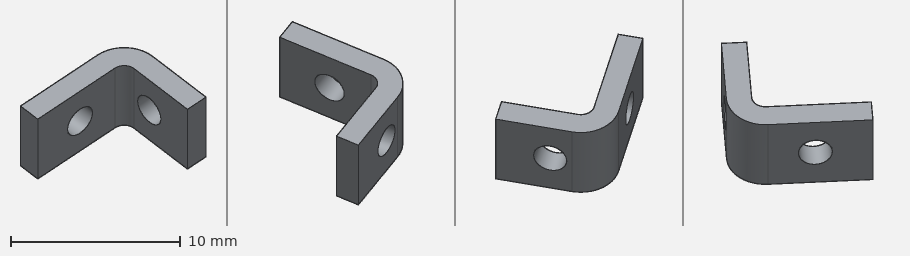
import cadquery as cq

length_x = 6.9
length_y = 8.5
height = 5.0

thickness = 1.5
inner_radius = 0.8
outer_radius = inner_radius + thickness

corner_edge = "|Z and <X and >Y"

hole_diameter = 2.0
x_leg_hole_from_corner = 3.6
y_leg_hole_from_end = 3.4


def bent_sheet():
    """Two legs meeting at the -X, +Y corner with a concentric bend."""
    outside = (
        cq.Workplane("XY")
        .box(length_x, length_y, height, centered=False)
        .edges(corner_edge)
        .fillet(outer_radius)
    )
    inside = (
        cq.Workplane("XY")
        .box(length_x - thickness, length_y - thickness, height, centered=False)
        .translate((thickness, 0, 0))
        .edges(corner_edge)
        .fillet(inner_radius)
    )
    return outside.cut(inside)


def hole_cutter(start, direction):
    """Round cutter running through one sheet thickness."""
    return cq.Workplane(
        cq.Solid.makeCylinder(hole_diameter / 2, thickness, cq.Vector(*start), cq.Vector(*direction))
    )


x_leg_hole = hole_cutter((x_leg_hole_from_corner, length_y - thickness, height / 2), (0, 1, 0))
y_leg_hole = hole_cutter((0, y_leg_hole_from_end, height / 2), (1, 0, 0))

result = bent_sheet().cut(x_leg_hole).cut(y_leg_hole)